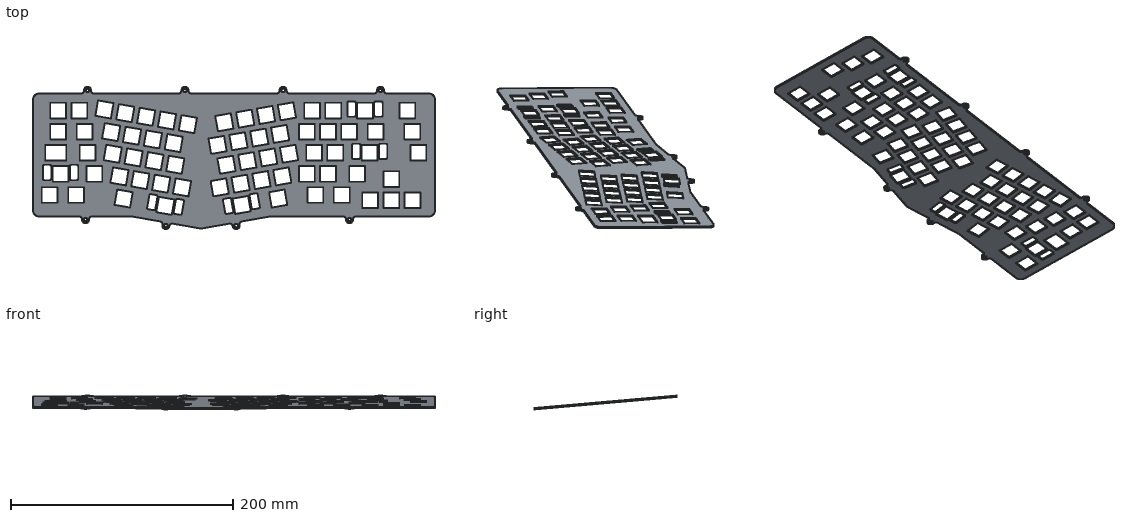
import cadquery as cq
import math

length = 362.0
thickness = 1.5
typing_angle = 5.0
splay_angle = 10.0
corner_radius = 5.8

key_pitch = length / 19
key_gap = 5.0
key_size = key_pitch - key_gap
caps_lock_width = 18.5
caps_lock_shift = 2.0

stabiliser_spacing = 24.3
stabiliser_width = 7.2
stabiliser_height = 13.8
stabiliser_rise = 1.25
stabiliser_corner_radius = 1.0

back_y = 58.3
front_y = -53.0
point_x = -29.7
v_half_width = 62.3
point_y = front_y - v_half_width * math.tan(math.radians(splay_angle))

tab_radius = 3.3
tab_hole_diameter = 3.1
tab_reach = 2.7
tab_root_radius = 2.5
back_tab_x = [-131.8, -44.0, 44.0, 131.8]
front_tab_x = [-133.5, 104.0]
v_tab_distance = 31.0

home_row_y = 4.7
row_y = [home_row_y + key_pitch * step for step in (2, 1, 0, -1, -2)]
arrow_drop = key_pitch / 4

left_rows = [
    (-158.2, [0, 1]),
    (-158.2, [0, 1.25]),
    (-131.8, [0]),
    (-156.0, [0, 1.6]),
    (-165.8, [0, 1.25]),
]
right_rows = [
    (70.2, [0, 1, 2.5]),
    (65.5, [0, 1, 2, 3.25]),
    (72.0, [0, 1, 2.625]),
    (65.5, [0, 1, 2.375]),
    (73.0, [0, 1.25]),
]
navigation_x = [156.0, 160.5, 165.8]
arrow_x = 141.5
caps_lock_x = left_rows[1][0] - caps_lock_shift

left_splay_origin = (-116.5, 43.8)
left_splay_rows = [
    [0, 1, 2, 3, 4],
    [0.5, 1.5, 2.5, 3.5],
    [0.75, 1.75, 2.75, 3.75],
    [1.25, 2.25, 3.25, 4.25],
    [1.625, 3.625],
]
right_splay_origin = (-8.7, 32.2)
right_splay_rows = [
    [0, 1, 2, 3],
    [-0.5, 0.5, 1.5, 2.5],
    [-0.25, 0.75, 1.75, 2.75],
    [-0.75, 0.25, 1.25, 2.25],
    [0.125, 1.875],
]


def plate_plane(x, y, angle=0.0):
    """Workplane on the underside of the flat plate, turned about Z."""
    base = cq.Plane(origin=(x, y, -thickness / 2))
    return cq.Workplane(base.rotated((0, 0, angle)))


def plate_blank():
    outline = [
        (-length / 2, back_y),
        (length / 2, back_y),
        (length / 2, front_y),
        (point_x + v_half_width, front_y),
        (point_x, point_y),
        (point_x - v_half_width, front_y),
        (-length / 2, front_y),
    ]
    blank = plate_plane(0, 0).polyline(outline).close().extrude(thickness)
    return blank.edges("|Z and (<X or >X)").fillet(corner_radius)


def mounting_tab(x, y, angle):
    """Eyelet standing off an edge at (x, y); its own +Y is outward."""
    root_x = tab_radius + tab_root_radius
    body = (
        plate_plane(x, y, angle)
        .moveTo(-root_x, -tab_root_radius)
        .lineTo(-root_x, 0)
        .radiusArc((-tab_radius, tab_root_radius), -tab_root_radius)
        .lineTo(-tab_radius, tab_reach)
        .threePointArc((0, tab_reach + tab_radius), (tab_radius, tab_reach))
        .lineTo(tab_radius, tab_root_radius)
        .radiusArc((root_x, 0), -tab_root_radius)
        .lineTo(root_x, -tab_root_radius)
        .close()
        .extrude(thickness)
    )
    hole = plate_plane(x, y, angle).center(0, tab_reach).circle(tab_hole_diameter / 2)
    return body, hole.extrude(thickness)


def mounting_tabs():
    tabs = [mounting_tab(x, back_y, 0) for x in back_tab_x]
    tabs += [mounting_tab(x, front_y, 180) for x in front_tab_x]
    v_tab_y = point_y + v_tab_distance * math.tan(math.radians(splay_angle))
    for side in (-1, 1):
        tabs.append(mounting_tab(point_x + side * v_tab_distance, v_tab_y, 180 + side * splay_angle))
    return tabs


def window(x, y, angle=0.0, width=key_size):
    return plate_plane(x, y, angle).rect(width, key_size).extrude(thickness)


def stabiliser_windows(x, y, angle=0.0):
    centres = [(side * stabiliser_spacing / 2, stabiliser_rise) for side in (-1, 1)]
    windows = plate_plane(x, y, angle).pushPoints(centres)
    windows = windows.rect(stabiliser_width, stabiliser_height).extrude(thickness)
    return windows.edges("|Z").fillet(stabiliser_corner_radius)


def straight_keys(rows):
    """Key centres of a straight block, row by row."""
    return [
        [(first_x + key_pitch * offset, y) for offset in offsets]
        for (first_x, offsets), y in zip(rows, row_y)
    ]


def splayed_keys(origin, rows, angle):
    """Key centres of a block whose rows run at an angle to X."""
    cosine = math.cos(math.radians(angle))
    sine = math.sin(math.radians(angle))
    keys = []
    for row_number, offsets in enumerate(rows):
        down = -key_pitch * row_number
        along = [key_pitch * offset for offset in offsets]
        keys.append([
            (origin[0] + a * cosine - down * sine, origin[1] + a * sine + down * cosine)
            for a in along
        ])
    return keys


def key_windows():
    left = straight_keys(left_rows)
    right = straight_keys(right_rows)
    left_splay = splayed_keys(left_splay_origin, left_splay_rows, -splay_angle)
    right_splay = splayed_keys(right_splay_origin, right_splay_rows, splay_angle)
    navigation = list(zip(navigation_x, row_y))
    arrows = [(arrow_x, row_y[3] - arrow_drop)]
    arrows += [(arrow_x + key_pitch * step, row_y[4] - arrow_drop) for step in (-1, 0, 1)]

    cuts = [window(x, y) for x, y in sum(left + right, navigation + arrows)]
    cuts += [window(x, y, -splay_angle) for x, y in sum(left_splay, [])]
    cuts += [window(x, y, splay_angle) for x, y in sum(right_splay, [])]
    cuts.append(window(caps_lock_x, home_row_y, width=caps_lock_width))

    for x, y in (left[3][0], right[0][-1], right[2][-1]):
        cuts.append(stabiliser_windows(x, y))
    cuts.append(stabiliser_windows(*left_splay[4][1], -splay_angle))
    cuts.append(stabiliser_windows(*right_splay[4][0], splay_angle))
    return cuts


plate = plate_blank()
tabs = mounting_tabs()
for tab_body, _ in tabs:
    plate = plate.union(tab_body)

cutters = [hole for _, hole in tabs] + key_windows()
solids = [solid for cutter in cutters for solid in cutter.vals()]
plate = plate.cut(cq.Workplane(cq.Compound.makeCompound(solids)))

result = plate.rotate((0, 0, 0), (1, 0, 0), typing_angle)